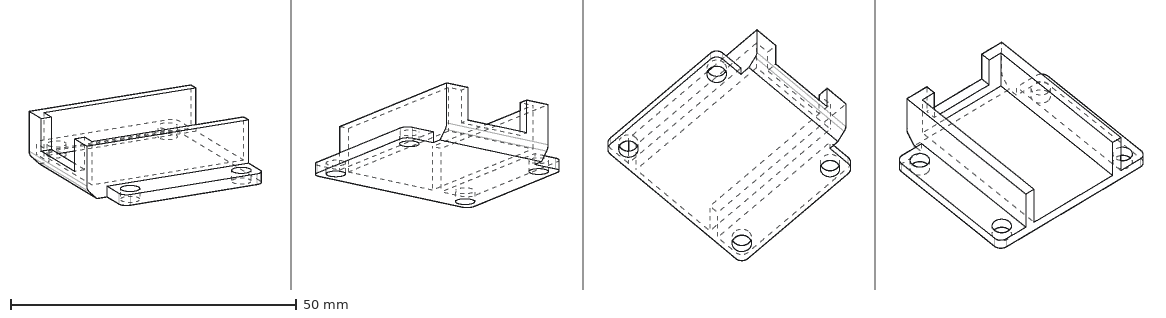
import cadquery as cq

flange_width = 34.0
flange_length = 28.0
flange_thickness = 2.0
flange_corner_radius = 1.5
hole_diameter = 3.4
hole_inset = 3.0

body_width = 22.0
body_length = 32.0
body_height = 10.0
side_wall = 1.9
front_wall = 2.0
floor_thickness = 2.0

opening_width = 12.7
sill_height = 4.0

bevel_size = 2.0
bevel_blend_radius = 1.5

back_y = flange_length / 2
front_y = back_y - body_length


def make_flange():
    plate = cq.Workplane("XY").box(
        flange_width, flange_length, flange_thickness, centered=(True, True, False)
    )
    plate = plate.edges("|Z").fillet(flange_corner_radius)
    return plate


def make_body():
    profile = (
        cq.Workplane("YZ")
        .moveTo(back_y, 0)
        .lineTo(back_y, body_height)
        .lineTo(front_y, body_height)
        .lineTo(front_y, bevel_size)
        .lineTo(front_y + bevel_size, 0)
        .close()
    )
    body = profile.extrude(body_width / 2, both=True)
    bevel_edge = cq.selectors.NearestToPointSelector((0, front_y, bevel_size))
    return body.edges("|X").edges(bevel_edge).fillet(bevel_blend_radius)


def block_up_from(width, y_start, y_end, z_bottom):
    """Block centred on X, spanning y_start to y_end, from z_bottom to the rim."""
    return (
        cq.Workplane("XY", origin=(0, (y_start + y_end) / 2, z_bottom))
        .rect(width, y_end - y_start)
        .extrude(body_height - z_bottom)
    )


def make_holes():
    return (
        cq.Workplane("XY")
        .rect(flange_width - 2 * hole_inset, flange_length - 2 * hole_inset, forConstruction=True)
        .vertices()
        .circle(hole_diameter / 2)
        .extrude(flange_thickness)
    )


tray_front_y = front_y + front_wall
tray_pocket = block_up_from(body_width - 2 * side_wall, tray_front_y, back_y, floor_thickness)
front_opening = block_up_from(opening_width, front_y, tray_front_y, sill_height)

result = make_flange().union(make_body()).cut(tray_pocket).cut(front_opening).cut(make_holes())